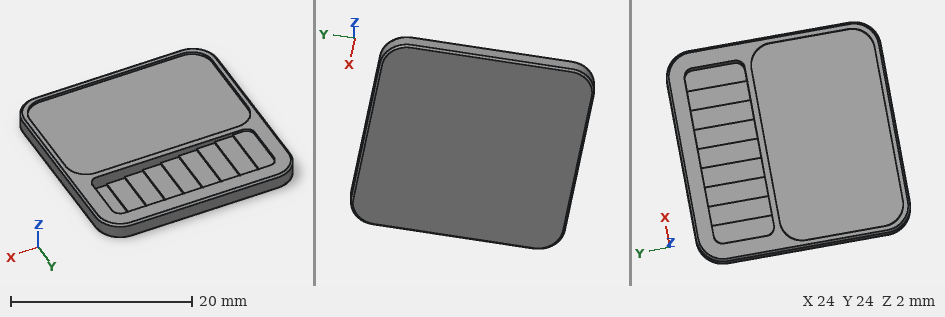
import cadquery as cq

side = 24.0
thickness = 2.0
corner_radius = 3.0
edge_chamfer = 0.25

tray_width = 20.02
tray_length = 6.77
tray_margin = 1.97
tray_radius = 1.0
step_count = 9
first_step_depth = 0.3
step_drop = 0.165

panel_width = 22.5
panel_length = 13.82
panel_margin = 0.75
panel_radius = 2.5
panel_depth = 0.3


def pocket(width, length, center_y, radius, depth):
    """Rounded rectangular cutter reaching down from the top face."""
    return (
        cq.Workplane("XY", origin=(0, center_y, thickness - depth))
        .rect(width, length)
        .extrude(depth)
        .edges("|Z")
        .fillet(radius)
    )


def stepped_tray(center_y):
    """Rounded cutter whose flat floor steps get deeper toward +X."""
    step_width = tray_width / step_count
    deepest = first_step_depth + (step_count - 1) * step_drop
    stairs = cq.Workplane("XY")
    for i in range(step_count):
        depth = first_step_depth + i * step_drop
        center_x = -tray_width / 2 + (i + 0.5) * step_width
        stairs = stairs.union(
            cq.Workplane("XY", origin=(center_x, center_y, thickness - depth))
            .rect(step_width, tray_length)
            .extrude(depth)
        )
    return pocket(tray_width, tray_length, center_y, tray_radius, deepest).intersect(stairs)


plate = (
    cq.Workplane("XY")
    .rect(side, side)
    .extrude(thickness)
    .edges("|Z")
    .fillet(corner_radius)
    .faces("<Z or >Z")
    .chamfer(edge_chamfer)
)

tray_y = side / 2 - tray_margin - tray_length / 2
panel_y = -side / 2 + panel_margin + panel_length / 2
panel = pocket(panel_width, panel_length, panel_y, panel_radius, panel_depth)

result = plate.cut(stepped_tray(tray_y)).cut(panel)